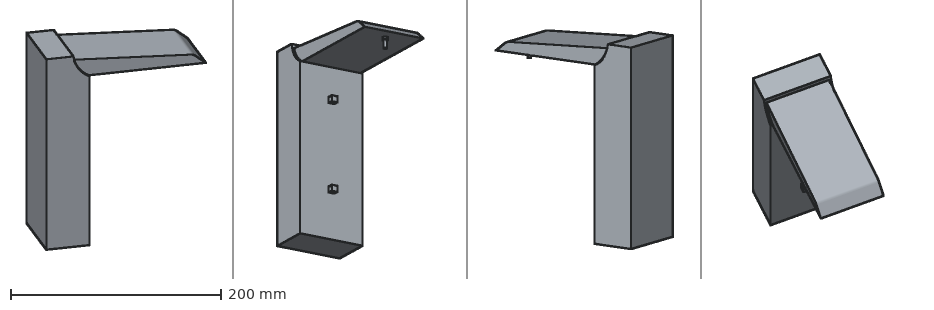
import cadquery as cq
import math

column_width = 69.3
column_depth = 42.7
column_height = 195.9
column_top_depth = 26.8
scoop_radius = 29.2

arm_width = 65.0
arm_tip_y = 158.5
arm_bottom_z = 173.7
arm_root_z = 191.5
arm_root_y = 27.5
nose_length = 12.5
nose_height = 10.0
nose_fillet_radius = 7.0

peg_side = 6.0
peg_length = 5.9
lower_peg_z = 50.0
peg_spacing = 90.3

stud_y = 142.0
stud_head_diameter = 5.3
stud_head_height = 2.4
stud_shank_diameter = 3.3
stud_length = 10.8


def extrude_centred(sketch, width):
    """Extrude a YZ outline symmetrically about X = 0."""
    return sketch.close().extrude(width / 2, both=True)


def shoulder_midpoint():
    """Middle of the arc joining the column's back edge to its top edge."""
    run = column_depth - column_top_depth
    rise = column_height - arm_bottom_z
    chord = math.hypot(run, rise)
    sagitta = scoop_radius - math.sqrt(scoop_radius**2 - (chord / 2) ** 2)
    return (
        (column_depth + column_top_depth) / 2 - sagitta * rise / chord,
        (arm_bottom_z + column_height) / 2 - sagitta * run / chord,
    )


def make_column():
    outline = (
        cq.Workplane("YZ")
        .lineTo(column_depth, 0)
        .lineTo(column_depth, arm_bottom_z)
        .threePointArc(shoulder_midpoint(), (column_top_depth, column_height))
        .lineTo(0, column_height)
    )
    return extrude_centred(outline, column_width)


def make_arm():
    nose_y = arm_tip_y - nose_length
    nose_z = arm_bottom_z + nose_height
    outline = (
        cq.Workplane("YZ")
        .moveTo(arm_root_y, arm_bottom_z)
        .lineTo(arm_tip_y, arm_bottom_z)
        .lineTo(nose_y, nose_z)
        .lineTo(arm_root_y, arm_root_z)
    )
    arm = extrude_centred(outline, arm_width)
    nose_edge = cq.selectors.NearestToPointSelector((0, nose_y, nose_z))
    return arm.edges("|X").edges(nose_edge).fillet(nose_fillet_radius)


def make_peg(height):
    return (
        cq.Workplane("XY")
        .box(peg_side, peg_length, peg_side, centered=(True, False, True))
        .translate((0, column_depth, height))
    )


def make_stud():
    base = cq.Workplane("XY", origin=(0, stud_y, arm_bottom_z))
    head = base.circle(stud_head_diameter / 2).extrude(-stud_head_height)
    shank = base.circle(stud_shank_diameter / 2).extrude(-stud_length)
    return head.union(shank)


result = make_column().union(make_arm()).union(make_stud())
for peg_number in range(2):
    result = result.union(make_peg(lower_peg_z + peg_number * peg_spacing))